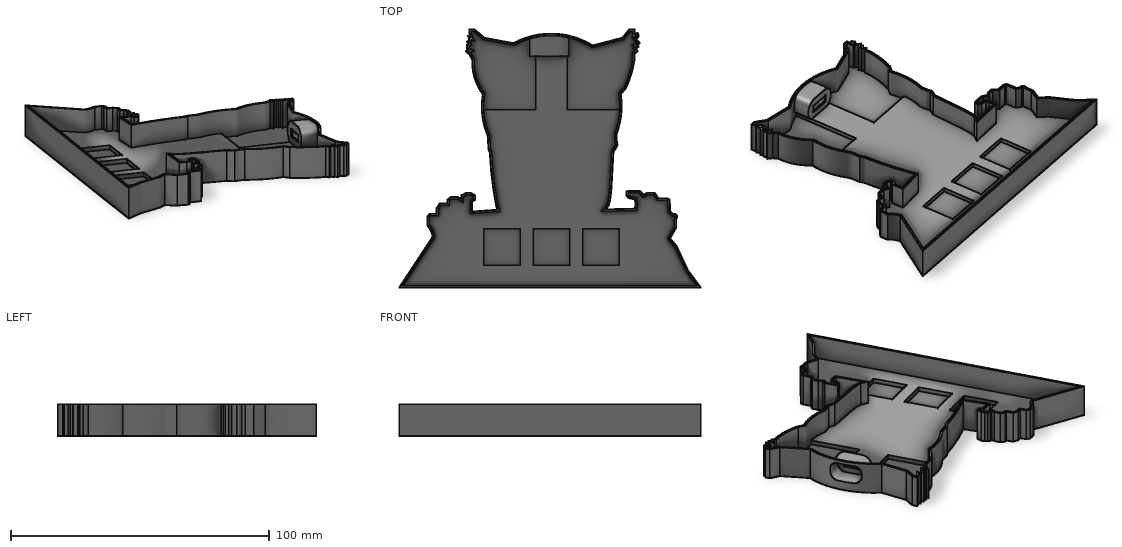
import cadquery as cq
import math


tray_height = 12.39
wall = 0.8
slight_turn = 0.1
floor_thickness = 3.2
recess_floor = 1.5
recess_depth = floor_thickness - recess_floor

base_left_x = -59.0
base_length = 116.93
base_right_x = base_left_x + base_length
ear_top_y = 100.18

pocket_size = 14.1
pocket_pitch = 19.15
pocket_count = 3
pocket_center_y = 15.85

strip_half_width = 6.05
sunken_bottom_y = 68.9

port_center_x = -0.85
port_center_z = 7.4
port_width = 15.2
port_height = 9.4
port_corner_radius = 4.3
port_front_y = 89.8
port_length = ear_top_y - port_front_y
port_shell = 1.0
port_front_thickness = 0.6
opening_width = 8.4
opening_height = 3.0

left_wrist = (-46.0, 19.8)
left_wrist_via = (-46.6, 21.9)
left_paw = [
    (-48.1, 24.2),
    (-48.1, 27.6),
    (-47.0, 28.8),
    (-44.5, 28.8),
    (-44.5, 30.8),
    (-43.2, 32.8),
    (-40.4, 32.8),
    (-40.4, 34.0),
    (-38.9, 35.2),
    (-36.3, 35.2),
    (-34.9, 34.5),
    (-34.9, 36.1),
    (-34.0, 36.1),
    (-33.1, 36.9),
    (-31.5, 36.9),
    (-29.4, 35.8),
    (-29.4, 34.1),
    (-30.7, 33.5),
    (-30.7, 29.6),
    (-21.0, 30.3),
    (-21.4, 31.7),
]
left_body_via = (-22.8, 40.0)
left_body = [
    (-23.9, 52.4),
    (-24.5, 54.0),
    (-24.6, 58.0),
    (-24.8, 59.2),
]
left_jaw_via = (-26.8, 66.5)
left_jaw_top = (-26.6, 75.0)
left_cheek_via = (-29.9, 81.6)
left_ear = [
    (-30.7, 88.4),
    (-31.7, 90.3),
    (-33.2, 91.7),
    (-32.0, 92.0),
    (-32.7, 92.4),
    (-32.7, 94.1),
    (-32.0, 94.4),
    (-32.7, 95.4),
    (-31.8, 96.0),
    (-32.3, 97.6),
    (-31.3, 97.1),
    (-31.8, 98.3),
    (-31.9, ear_top_y),
    (-29.9, ear_top_y),
    (-26.0, 96.9),
    (-14.7, 94.8),
]
crown_via = (0, 98.5)
right_ear = [
    (16.0, 93.9),
    (27.5, 96.9),
    (30.2, ear_top_y),
    (32.2, ear_top_y),
    (32.2, 98.1),
    (33.4, 98.9),
    (33.9, 97.5),
    (32.9, 96.2),
    (34.3, 94.8),
    (32.9, 94.0),
    (33.9, 93.5),
    (32.7, 92.6),
    (33.4, 91.6),
    (32.2, 90.7),
    (32.2, 88.2),
]
right_cheek_via = (30.9, 82.5)
right_body = [
    (28.8, 77.1),
    (26.9, 75.1),
]
right_jaw_via = (27.1, 67.0)
right_jaw_bottom = (25.3, 59.7)
right_arm = [
    (25.3, 57.2),
    (25.7, 55.4),
    (24.1, 52.7),
    (23.3, 38.2),
    (22.8, 34.0),
    (22.1, 31.7),
    (21.1, 30.45),
    (32.3, 30.75),
]
right_paw = [
    (32.6, 32.9),
    (32.2, 34.3),
    (30.0, 34.7),
    (28.9, 35.8),
    (28.9, 37.3),
    (30.0, 37.6),
    (34.3, 37.6),
    (35.7, 36.1),
    (37.2, 36.9),
    (39.9, 36.9),
    (41.4, 34.8),
    (44.6, 34.8),
    (45.9, 34.2),
    (46.0, 29.6),
    (47.2, 28.6),
    (47.9, 28.8),
    (48.8, 27.8),
    (48.4, 26.5),
    (48.4, 23.4),
    (46.0, 19.2),
    (48.6, 16.0),
    (52.9, 6.8),
    (base_right_x, 0),
]

straight_stretches = [left_paw, left_body, left_ear, right_ear, right_body, right_arm + right_paw]


def outline():
    """Closed outline of the figure."""
    return (
        cq.Workplane("XY")
        .moveTo(base_left_x, 0)
        .lineTo(*left_wrist)
        .threePointArc(left_wrist_via, left_paw[0])
        .polyline(left_paw[1:], includeCurrent=True)
        .threePointArc(left_body_via, left_body[0])
        .polyline(left_body[1:], includeCurrent=True)
        .threePointArc(left_jaw_via, left_jaw_top)
        .threePointArc(left_cheek_via, left_ear[0])
        .polyline(left_ear[1:], includeCurrent=True)
        .threePointArc(crown_via, right_ear[0])
        .polyline(right_ear[1:], includeCurrent=True)
        .threePointArc(right_cheek_via, right_body[0])
        .polyline(right_body[1:], includeCurrent=True)
        .threePointArc(right_jaw_via, right_jaw_bottom)
        .polyline(right_arm + right_paw, includeCurrent=True)
        .close()
    )


def mitre(before, corner, after):
    """Corners of the patch that squares off the wall inside a re-entrant corner, or None elsewhere."""
    length_in = math.dist(before, corner)
    length_out = math.dist(corner, after)
    dir_in = ((corner[0] - before[0]) / length_in, (corner[1] - before[1]) / length_in)
    dir_out = ((after[0] - corner[0]) / length_out, (after[1] - corner[1]) / length_out)
    left_turn = dir_in[0] * dir_out[1] - dir_in[1] * dir_out[0]
    if left_turn < slight_turn:
        return None
    reach = wall / (1 + dir_in[0] * dir_out[0] + dir_in[1] * dir_out[1])
    return [
        corner,
        (corner[0] + wall * dir_in[1], corner[1] - wall * dir_in[0]),
        (corner[0] + reach * (dir_in[1] + dir_out[1]), corner[1] - reach * (dir_in[0] + dir_out[0])),
        (corner[0] + wall * dir_out[1], corner[1] - wall * dir_out[0]),
    ]


def interior():
    """Full-height prism of the space inside the wall, with sharp wall corners."""
    space = outline().offset2D(-wall, "arc").extrude(tray_height)
    for stretch in straight_stretches:
        for corner_points in zip(stretch, stretch[1:], stretch[2:]):
            patch = mitre(*corner_points)
            if patch:
                space = space.cut(cq.Workplane("XY").polyline(patch).close().extrude(tray_height))
    return space


def slab(width, start_y, bottom_z, top_z):
    """Plate centred on X = 0, from start_y to the ear tips, between two heights."""
    return (
        cq.Workplane("XY", origin=(0, start_y, bottom_z))
        .box(width, ear_top_y - start_y, top_z - bottom_z, centered=(True, False, False))
    )


def tray(inner_space):
    cavity = inner_space.intersect(slab(2 * base_length, 0, floor_thickness, tray_height))
    return outline().extrude(tray_height).cut(cavity)


def square_pockets():
    return (
        cq.Workplane("XY", origin=(0, pocket_center_y, recess_floor))
        .rarray(pocket_pitch, 1, pocket_count, 1)
        .rect(pocket_size, pocket_size)
        .extrude(recess_depth)
    )


def sunken_areas(inner_space):
    """Head area inside the wall, except the central strip."""
    head = slab(base_length, sunken_bottom_y, recess_floor, floor_thickness)
    strip = slab(2 * strip_half_width, sunken_bottom_y, recess_floor, floor_thickness)
    return inner_space.intersect(head.cut(strip))


def port_prism(shell):
    """Rounded bar along Y, set in from the outside of the port by the given shell thickness."""
    corner_radius = port_corner_radius - shell
    return (
        cq.Workplane("XY", origin=(port_center_x, port_front_y + port_length / 2, port_center_z))
        .box(port_width - 2 * shell, port_length, port_height - 2 * shell)
        .edges("|Y")
        .fillet(corner_radius)
    )


def port_block():
    """Block from the port face back to the crown, trimmed to the outline."""
    return port_prism(0).intersect(outline().extrude(tray_height))


def port_channel():
    """Plug channel, open through the crown and closed at the front by a thin plate."""
    return port_prism(port_shell).translate((0, port_front_thickness, 0))


def port_opening():
    """Rectangular window in the front plate, facing the inside of the tray."""
    return (
        cq.Workplane("XZ", origin=(port_center_x, port_front_y, port_center_z))
        .rect(opening_width, opening_height)
        .extrude(-2 * port_front_thickness)
    )


inner_space = interior()
result = (
    tray(inner_space)
    .cut(square_pockets())
    .cut(sunken_areas(inner_space))
    .union(port_block())
    .cut(port_channel())
    .cut(port_opening())
)